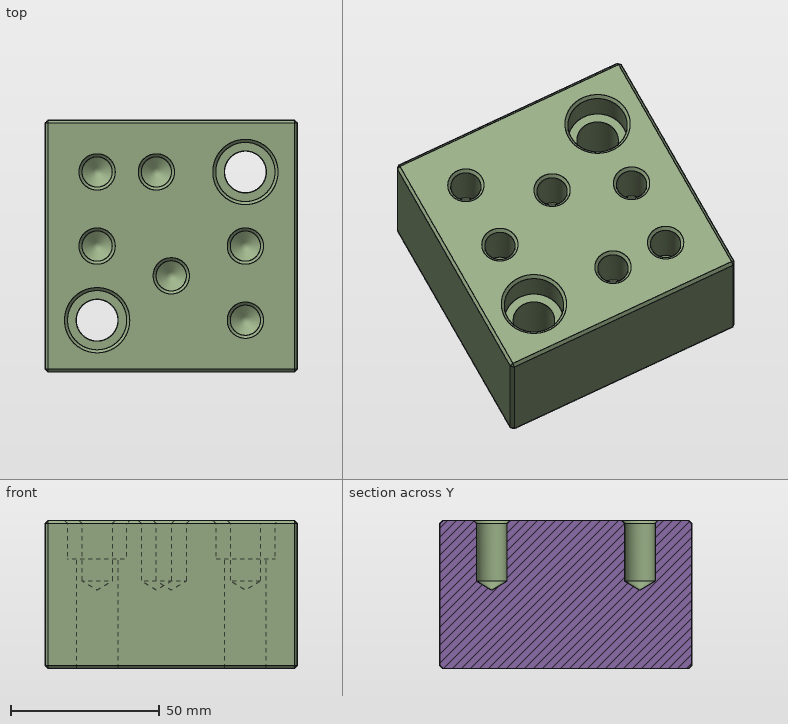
import cadquery as cq
import math

side = 85.0
height = 50.0
edge_chamfer = 1.0

outer_offset = 25.0
inner_offset = 5.0
bolt_points = [(-outer_offset, -outer_offset), (outer_offset, outer_offset)]
blind_points = [
    (-outer_offset, outer_offset),
    (-inner_offset, outer_offset),
    (-outer_offset, 0),
    (outer_offset, 0),
    (0, -2 * inner_offset),
    (outer_offset, -outer_offset),
]

bolt_diameter = 14.0
counterbore_diameter = 20.0
counterbore_depth = 13.0

blind_diameter = 10.2
blind_depth = 20.4
drill_tip_angle = 118.0

mouth_chamfer = 1.0


def revolved_cutter(profile):
    """Turn an (r, z) profile about the Z axis, with z = 0 at the top face."""
    return cq.Workplane("XZ").polyline(profile).close().revolve(360, (0, 0, 0), (0, 1, 0))


def bolt_cutter():
    hole_radius = bolt_diameter / 2
    bore_radius = counterbore_diameter / 2
    return revolved_cutter([
        (0, 0),
        (bore_radius + mouth_chamfer, 0),
        (bore_radius, -mouth_chamfer),
        (bore_radius, -counterbore_depth),
        (hole_radius, -counterbore_depth),
        (hole_radius, -height),
        (0, -height),
    ])


def blind_cutter():
    radius = blind_diameter / 2
    tip_length = radius / math.tan(math.radians(drill_tip_angle / 2))
    return revolved_cutter([
        (0, 0),
        (radius + mouth_chamfer, 0),
        (radius, -mouth_chamfer),
        (radius, -blind_depth),
        (0, -blind_depth - tip_length),
    ])


def cut_at(body, cutter, points):
    for x, y in points:
        body = body.cut(cutter.translate((x, y, height / 2)))
    return body


block = cq.Workplane("XY").box(side, side, height).edges().chamfer(edge_chamfer)
block = cut_at(block, bolt_cutter(), bolt_points)
result = cut_at(block, blind_cutter(), blind_points)